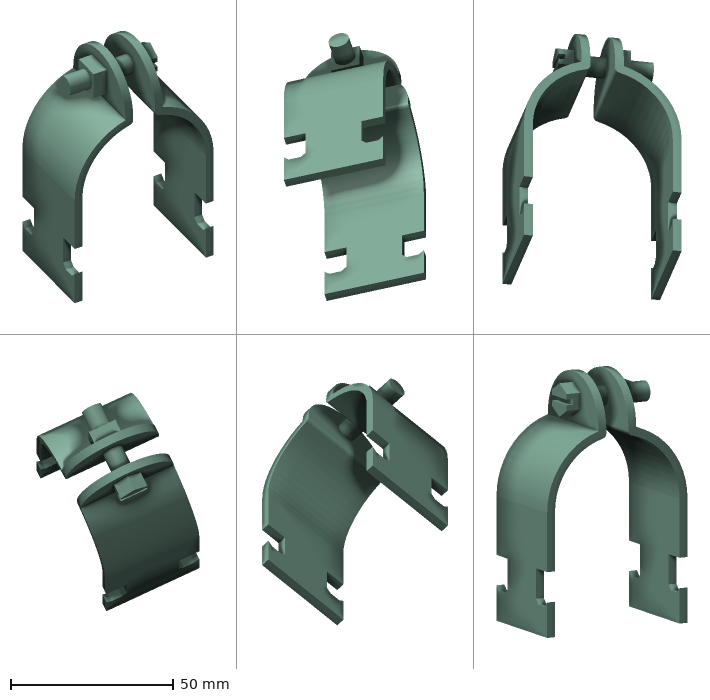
import cadquery as cq
import math

strap_width = 31.75
strap_thickness = 2.8
outer_radius = 24.8
inner_radius = outer_radius - strap_thickness
total_height = 79.4
shoulder_z = 39.2
ear_inner_y = 3.9
ear_outer_y = ear_inner_y + strap_thickness
ear_radius = strap_width / 2
ear_centre_z = total_height - ear_radius
bend_radius = 1.6

neck_width = 17.8
notch_depth = (strap_width - neck_width) / 2
notch_top_z = 20.6
notch_floor_z = 9.5
notch_chamfer = 1.6

bolt_z = 70.6
shank_diameter = 6.5
shank_tip_y = -18.8
across_flats = 9.1
across_corners = across_flats / math.cos(math.radians(30))
head_height = 4.85
nut_height = 4.7
driver_slot_width = 1.75
driver_slot_depth = 2.15


def arc_height(radius, y):
    """Z of a shoulder arc at distance y from the mid-plane."""
    return shoulder_z + math.sqrt(radius**2 - y**2)


def arc_middle(radius, end_y):
    """Point halfway along the arc from the leg to the ear."""
    angle = math.acos(end_y / radius) / 2
    return radius * math.cos(angle), shoulder_z + radius * math.sin(angle)


def strap_blank():
    """Bent strip, extruded across the strap width."""
    return (
        cq.Workplane("YZ")
        .workplane(offset=-strap_width / 2)
        .moveTo(outer_radius, 0)
        .lineTo(outer_radius, shoulder_z)
        .threePointArc(
            arc_middle(outer_radius, ear_outer_y),
            (ear_outer_y, arc_height(outer_radius, ear_outer_y)),
        )
        .lineTo(ear_outer_y, total_height)
        .lineTo(ear_inner_y, total_height)
        .lineTo(ear_inner_y, arc_height(inner_radius, ear_inner_y))
        .threePointArc(
            arc_middle(inner_radius, ear_inner_y),
            (inner_radius, shoulder_z),
        )
        .lineTo(inner_radius, 0)
        .close()
        .extrude(strap_width)
    )


def round_inner_bend(strap):
    """Fillet the inner corner where the shoulder turns up into the ear."""
    corner = (0, ear_inner_y, arc_height(inner_radius, ear_inner_y))
    return strap.edges(cq.NearestToPointSelector(corner)).fillet(bend_radius)


def round_topped_outline():
    """Front outline of the strap, deep enough to span the +Y half."""
    return (
        cq.Workplane("XZ")
        .moveTo(-ear_radius, 0)
        .lineTo(ear_radius, 0)
        .lineTo(ear_radius, ear_centre_z)
        .threePointArc((0, total_height), (-ear_radius, ear_centre_z))
        .close()
        .extrude(-outer_radius)
    )


def edge_notch():
    """Cutter for the +X notch, with an angled lip and inner corner."""
    edge_x = strap_width / 2
    neck_x = edge_x - notch_depth
    chamfer_z = notch_floor_z + notch_chamfer
    return (
        cq.Workplane("XZ")
        .moveTo(edge_x, notch_top_z)
        .lineTo(neck_x, notch_top_z)
        .lineTo(neck_x, chamfer_z)
        .lineTo(neck_x + notch_chamfer, notch_floor_z)
        .lineTo(edge_x - notch_chamfer, notch_floor_z)
        .lineTo(edge_x, chamfer_z)
        .close()
        .extrude(-outer_radius)
    )


def shank(start_y, end_y):
    """Round bar along the bolt axis, from start_y towards -Y."""
    return (
        cq.Workplane("XZ", origin=(0, start_y, bolt_z))
        .circle(shank_diameter / 2)
        .extrude(start_y - end_y)
    )


def make_strap():
    """Strap half on the +Y side."""
    notch = edge_notch()
    strap = round_inner_bend(strap_blank()).intersect(round_topped_outline())
    strap = strap.cut(notch).cut(notch.mirror("YZ"))
    return strap.cut(shank(ear_outer_y, ear_inner_y))


def make_bolt():
    """Slotted hexagonal head on the +Y side, with a plain round shank."""
    head_top_y = ear_outer_y + head_height
    head = (
        cq.Workplane("XZ", origin=(0, head_top_y, bolt_z))
        .transformed(rotate=(0, 0, 90))
        .polygon(6, across_corners)
        .extrude(head_height)
    )
    driver_slot = (
        cq.Workplane("XZ", origin=(0, head_top_y, bolt_z))
        .rect(across_corners, driver_slot_width)
        .extrude(driver_slot_depth)
    )
    return head.cut(driver_slot).union(shank(ear_outer_y, shank_tip_y))


def make_nut():
    """Square nut against the -Y ear."""
    return (
        cq.Workplane("XZ", origin=(0, -ear_outer_y, bolt_z))
        .rect(across_flats, across_flats)
        .circle(shank_diameter / 2)
        .extrude(nut_height)
    )


straps = []
for turn in (0, 180):
    straps.append(make_strap().rotate((0, 0, 0), (0, 0, 1), turn).solids().val())
bolt = make_bolt().solids()
nut = make_nut().solids()

result = cq.Compound.makeCompound([*straps, bolt.val(), nut.val()])